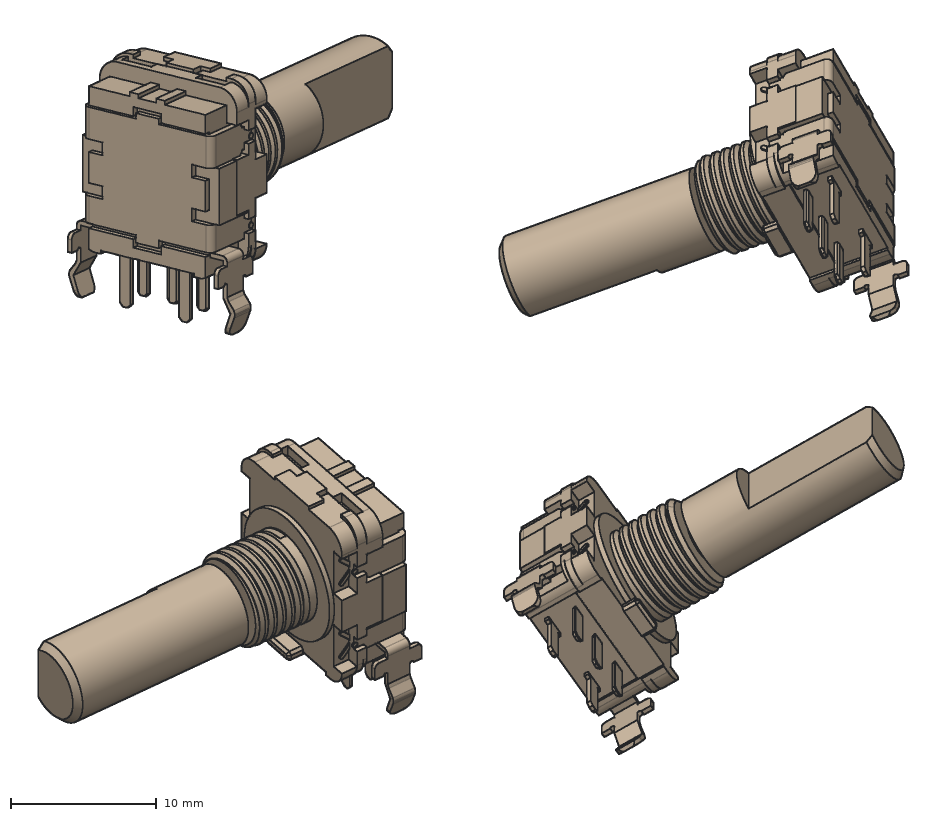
import cadquery as cq
import math


shaft_radius = 3.03
shaft_start = 5.87
shaft_end = 20.42
shaft_chamfer = 0.48
flat_start = 10.37
flat_height = 1.5
neck_radius = 1.5
flange_radius = 4.95
flange_thickness = 0.4
thread_radius = 3.5
thread_end = 5.4
thread_pitch = 0.75
thread_depth = 0.32
thread_start = 0.72
thread_crest = 0.25
thread_chamfer = 0.32

half_width = 5.85
corner_radius = 1.5
front_lower_radius = 1.4
front_back = -1.29
middle_back = -2.12
middle_foot_back = -1.82
frame_back = -3.45
strap_back = -5.47
rear = -5.9
front_top = 6.95
tab_top = 7.2
frame_top = 6.97
front_bottom = -6.45
frame_bottom = -6.22
foot_inner = 3.97
foot_step = 0.27

tab_half_width = 1.98
tab_neck_half_width = 1.15
neck_gap_half_width = 1.35
neck_gap_depth = 0.4
pocket_inner = 1.9
pocket_outer = 4.37
pocket_length = 0.72
pocket_depth = 0.8

front_windows = [(1.42, 5.12), (-5.1, -1.4)]
middle_notches = [(2.8, 3.75), (-3.75, -2.7)]
window_floor = 4.88
clip_apexes = [3.08, -3.43]
clip_reach = 1.05
clip_width = 0.32
clip_height = 0.13
clip_apex_y = -1.65
clip_bump_radius = 0.21
clip_bump_y = -1.37
clip_bump_height = 0.05

core_half_width = 5.47
core_top = 4.25
core_bottom = -4.2
core_fillet = 0.48
strap_half_width = 5.82
strap_top = 1.93
strap_bottom = -2.2
frame_side_bottom = 4.5
frame_strap_top = 1.98
frame_strap_bottom = -2.06
pad_bevel_length = 0.43
pad_bevel_height = 0.32
cover_half_width = 4.95
cover_top = 5.8
cover_bottom = -5.98
rib_inner = 0.75
rib_outer = 1.5
rib_top = 6.08
upper_edge = 4.4
lower_edge = -4.55
key_half_width = 0.96
key_slot_half_width = 1.18
upper_key_end = 4.65
upper_slot_end = 5.07
lower_key_end = -4.77
lower_slot_end = -5.17
finger_inner = 3.8
finger_height = 0.95

peg_half_width = 1.35
peg_top = -5.75
peg_bottom = -6.57
peg_length = 1.23
peg_chamfer = 0.21

pin_width = 0.9
pin_thickness = 0.3
pin_spacing = 2.52
pin_root = -5.75
pin_tip_chamfer = 0.27
signal_pin_y = -2.9
signal_pin_end = -9.85
signal_pin_bevel = 0.21
signal_pin_bevel_depth = 0.08
switch_pin_y = -4.88
switch_pin_end = -10.05
shoulder_width = 1.55
shoulder_bottom = -6.38

leg_outer = 6.4
leg_thickness = 0.35
leg_top = -4.4
leg_root = 4.7
leg_end = -10.2
leg_bend = -7.35
leg_splay_start = (6.5, -7.6)
leg_splay_end = (6.97, -8.17)
leg_knee = (7.05, -8.45)
leg_return = (7.02, -8.68)
leg_tip_outer = 6.43
leg_tip_inner = (6.1, -10.08)
leg_knee_inner = (6.67, -8.5)
leg_bend_inner = -7.45
leg_front = -3.48
leg_rear = -5.35
leg_tip_radius = 0.67
leg_bend_radius = 0.43
wing_front = -2.39
wing_rear = -6.38
wing_top = -5.1
wing_bottom = -6.45
wing_radius = 0.4
relief_radius = 0.15

overlap = 0.05


def box(x0, x1, y0, y1, z0, z1):
    """Box between opposite corners, given in any order."""
    size = (abs(x1 - x0), abs(y1 - y0), abs(z1 - z0))
    middle = ((x0 + x1) / 2, (y0 + y1) / 2, (z0 + z1) / 2)
    return cq.Workplane("XY").box(*size).translate(middle)


def both_sides(shape):
    """The shape together with its mirror image across X = 0."""
    return shape.union(shape.mirror("YZ"))


def rounded_layer(y_front, y_back, z_bottom, z_top, lower_radius=corner_radius):
    """Full-width slab with rounded upper and lower corners."""
    slab = box(-half_width, half_width, y_front, y_back, z_bottom, z_top)
    slab = slab.faces(">Z").edges("|Y").fillet(corner_radius)
    return slab.faces("<Z").edges("|Y").fillet(lower_radius)


def make_shaft():
    shaft = (
        cq.Workplane("XZ", origin=(0, shaft_start, 0))
        .circle(shaft_radius)
        .extrude(shaft_start - shaft_end)
        .faces(">Y")
        .chamfer(shaft_chamfer)
    )
    flat = box(flat_height, 2 * shaft_radius, flat_start, shaft_end, -shaft_radius, shaft_radius)
    neck = cq.Workplane("XZ").circle(neck_radius).extrude(-shaft_start - overlap)
    return shaft.cut(flat).union(neck)


def make_bushing():
    """Threaded bushing on its flange, built along Z and then turned to +Y."""
    flange = cq.Workplane("XY").circle(flange_radius).extrude(flange_thickness)
    barrel = cq.Workplane("XY").circle(thread_radius).extrude(thread_end)
    barrel = barrel.faces(">Z").chamfer(thread_chamfer)
    thread_length = thread_end - thread_start + thread_pitch

    root_radius = thread_radius - thread_depth
    outside_radius = thread_radius + overlap
    flank_slope = (thread_pitch - thread_crest) / 2 / thread_depth
    outside_half = flank_slope * (outside_radius - root_radius)
    helix = cq.Wire.makeHelix(thread_pitch, thread_length, root_radius)
    groove = (
        cq.Workplane("XZ")
        .polyline([
            (root_radius, 0),
            (outside_radius, -outside_half),
            (outside_radius, outside_half),
        ])
        .close()
        .sweep(cq.Workplane(helix), isFrenet=True)
        .rotate((0, 0, 0), (0, 0, 1), -90)
        .translate((0, 0, thread_start))
    )

    rod = cq.Workplane("XY").circle(thread_radius).extrude(thread_start + thread_length + thread_pitch)
    barrel = rod.cut(groove).intersect(barrel)
    return barrel.union(flange).rotate((0, 0, 0), (1, 0, 0), -90)


def make_front_layers():
    """Front and middle layers with side windows, top tab and bottom feet."""
    front = rounded_layer(0, front_back, front_bottom, front_top, front_lower_radius)
    middle = rounded_layer(front_back, middle_back, frame_bottom, tab_top)
    foot = rounded_layer(front_back, middle_foot_back, front_bottom, tab_top)
    middle = middle.union(foot)

    middle = middle.cut(box(-foot_inner, foot_inner, front_back, middle_back, front_top, tab_top))
    for bottom, top in front_windows:
        front = front.cut(both_sides(box(window_floor, half_width, 0, front_back, bottom, top)))
    for bottom, top in middle_notches:
        notch = box(core_half_width, half_width, front_back, middle_back, bottom, top)
        middle = middle.cut(both_sides(notch))

    layers = front.union(middle)
    layers = layers.cut(
        box(-foot_inner, foot_inner, 0, middle_back, front_bottom, front_bottom + foot_step)
    )

    clearance = box(-neck_gap_half_width, neck_gap_half_width, front_back, middle_back,
                    front_top - neck_gap_depth, front_top)
    tab = box(-tab_half_width, tab_half_width, 0, front_back, front_top - overlap, tab_top)
    neck = box(-tab_neck_half_width, tab_neck_half_width, front_back, middle_back,
               front_top - neck_gap_depth, tab_top)
    return layers.cut(clearance).union(tab).union(neck)


def make_frame():
    """Rear layer of the frame, with its top pockets and open sides."""
    frame = rounded_layer(middle_back, frame_back, frame_bottom, frame_top)
    pocket = box(pocket_inner, pocket_outer, middle_back, middle_back - pocket_length,
                 frame_top - pocket_depth, frame_top)
    frame = frame.cut(both_sides(pocket))
    frame_windows = [(frame_strap_top, frame_side_bottom), (core_bottom, frame_strap_bottom)]
    for bottom, top in frame_windows:
        window = box(window_floor, half_width, middle_back, frame_back, bottom, top)
        frame = frame.cut(both_sides(window))
    lower_side = box(cover_half_width, half_width, middle_back, frame_back, frame_bottom, core_bottom)
    frame = frame.cut(both_sides(lower_side))
    return frame.cut(
        box(-foot_inner, foot_inner, middle_back, frame_back, frame_bottom, cover_bottom)
    )


def make_core():
    """Plastic core with bevelled front corners and rounded rear edges."""
    core = box(-core_half_width, core_half_width, middle_back, rear, core_bottom, core_top)
    core = core.faces("<Y").edges("|Z").fillet(core_fillet)

    core = core.union(
        box(-core_half_width, core_half_width, front_back - overlap, middle_back - overlap,
            middle_notches[1][0], middle_notches[0][1])
    )

    for corner, direction in [(core_top, -1), (frame_strap_top, 1), (frame_strap_bottom, -1)]:
        bevel = (
            cq.Workplane("YZ", origin=(window_floor, 0, 0))
            .polyline([
                (middle_back, corner),
                (middle_back, corner + direction * pad_bevel_height),
                (middle_back - pad_bevel_length / 2, corner + direction * pad_bevel_height),
                (middle_back - pad_bevel_length, corner),
            ])
            .close()
            .extrude(half_width - window_floor)
        )
        core = core.cut(both_sides(bevel))

    for edge, end in [(core_top, upper_key_end), (core_bottom, lower_key_end)]:
        core = core.union(box(-key_half_width, key_half_width, strap_back, rear, edge, end))
    return core


def make_cover():
    """Upper and lower cover bars on a common inner block."""
    cover = box(-cover_half_width, cover_half_width, middle_back, rear, cover_bottom, cover_top)
    rib = box(rib_inner, rib_outer, frame_back, rear, cover_top - overlap, rib_top)
    cover = cover.union(both_sides(rib))

    corner = box(foot_inner, cover_half_width, frame_back, rear, frame_bottom, lower_edge)
    corner = corner.intersect(rounded_layer(frame_back, rear, frame_bottom, frame_top))
    square_corner = box(foot_inner, cover_half_width, middle_back, rear, cover_bottom, lower_edge)
    cover = cover.cut(both_sides(square_corner)).union(both_sides(corner))

    cover = cover.cut(
        box(-cover_half_width, cover_half_width, strap_back, rear, lower_edge, upper_edge)
    )
    return cover.cut(
        box(-key_slot_half_width, key_slot_half_width, strap_back, rear,
            lower_slot_end, upper_slot_end)
    )


def make_strap_recess():
    """Rear recess of the core that takes one strap with its two fingers."""
    recess = box(cover_half_width, half_width, strap_back, rear, strap_bottom, strap_top)
    for bottom in (strap_bottom, strap_top - finger_height):
        finger = box(finger_inner, half_width, strap_back, rear, bottom, bottom + finger_height)
        recess = recess.union(finger)
    return recess


def make_strap():
    """Side strap that runs from the frame to the rear recess."""
    return box(window_floor, strap_half_width, middle_back, strap_back, strap_bottom, strap_top)


def make_clip(apex_z):
    """V-shaped spring clip on the floor of a side window, with its bump at the apex."""
    clip = cq.Workplane("XY")
    for direction in (-1, 1):
        arm = (
            cq.Workplane("YZ", origin=(window_floor - overlap, 0, 0))
            .slot2D(clip_reach * math.sqrt(2) + clip_width, clip_width)
            .extrude(clip_height + overlap)
            .rotate((0, 0, 0), (1, 0, 0), 45 * direction)
            .translate((0, clip_apex_y + clip_reach / 2, apex_z + direction * clip_reach / 2))
        )
        clip = clip.union(arm)
    bump = (
        cq.Workplane("YZ", origin=(core_half_width - overlap, clip_bump_y, apex_z))
        .circle(clip_bump_radius)
        .extrude(clip_bump_height + overlap)
    )
    return clip.union(bump)


def make_peg():
    """Locating peg with bevelled edges, reaching forward below the flange."""
    peg = box(-peg_half_width, peg_half_width, 0, peg_length, peg_bottom, peg_top)
    peg = peg.edges("|Y").chamfer(peg_chamfer)
    return peg.faces(">Y").chamfer(peg_chamfer)


def make_pin(x, y, end):
    """Flat pin with a bevelled tip."""
    pin = box(x - pin_width / 2, x + pin_width / 2,
              y - pin_thickness / 2, y + pin_thickness / 2, end, pin_root)
    return pin.faces("<Z").edges("|Y").chamfer(pin_tip_chamfer)


def make_pins():
    pins = cq.Workplane("XY")
    for x in (-pin_spacing, 0, pin_spacing):
        pin = make_pin(x, signal_pin_y, signal_pin_end)
        pin = pin.faces("<Y").chamfer(signal_pin_bevel_depth, signal_pin_bevel)
        pins = pins.union(pin)
    for x in (-pin_spacing, pin_spacing):
        shoulder = box(x - shoulder_width / 2, x + shoulder_width / 2,
                       switch_pin_y - pin_thickness / 2, switch_pin_y + pin_thickness / 2,
                       shoulder_bottom, pin_root)
        pins = pins.union(make_pin(x, switch_pin_y, switch_pin_end)).union(shoulder)
    return pins


def make_leg():
    """Bent snap-in leg at +X: its bent section limited to its flat outline."""
    leg_inner = leg_outer - leg_thickness
    leg_reach = leg_knee[0]
    section = (
        cq.Workplane("XZ", origin=(0, wing_front, 0))
        .moveTo(leg_root, leg_top)
        .lineTo(leg_outer - leg_bend_radius, leg_top)
        .radiusArc((leg_outer, leg_top - leg_bend_radius), leg_bend_radius)
        .lineTo(leg_outer, leg_bend)
        .lineTo(*leg_splay_start)
        .lineTo(*leg_splay_end)
        .threePointArc(leg_knee, leg_return)
        .lineTo(leg_tip_outer, leg_end)
        .lineTo(*leg_tip_inner)
        .lineTo(*leg_knee_inner)
        .lineTo(leg_inner, leg_bend_inner)
        .lineTo(leg_inner, leg_top - leg_thickness)
        .lineTo(leg_root, leg_top - leg_thickness)
        .close()
        .extrude(wing_front - wing_rear)
    )
    blade = box(leg_root, leg_reach, leg_front, leg_rear, leg_end, leg_top)
    blade = blade.faces("<Z").edges("|X").fillet(leg_tip_radius)
    wings = box(leg_root, leg_reach, wing_front, wing_rear, wing_bottom, wing_top)
    wings = wings.faces(">Z").edges("|X").fillet(wing_radius)
    relief = (
        cq.Workplane("YZ", origin=(leg_root, 0, 0))
        .pushPoints([
            (leg_front + relief_radius, wing_bottom),
            (leg_rear - relief_radius, wing_bottom),
        ])
        .circle(relief_radius)
        .extrude(leg_reach - leg_root)
    )
    return section.intersect(blade.union(wings.cut(relief)))


housing = make_front_layers().union(make_frame())
core = make_core().cut(both_sides(make_strap_recess()))
housing = housing.union(make_cover()).union(core).union(both_sides(make_strap()))
for apex in clip_apexes:
    housing = housing.union(both_sides(make_clip(apex)))

result = (
    housing
    .union(make_bushing())
    .union(make_shaft())
    .union(make_peg())
    .union(make_pins())
    .union(both_sides(make_leg()))
)